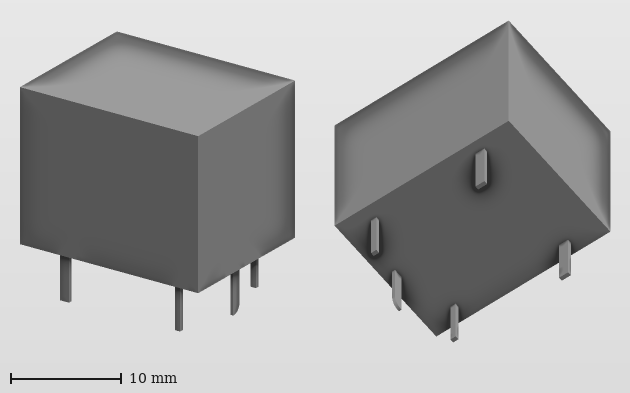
import cadquery as cq

body_length = 19.6
body_width = 15.4
total_height = 20.5
pin_length = 5.05
body_height = total_height - pin_length

wide_pin_x = -5.7
wide_pin_y = 6.33
wide_pin_width = 1.0
wide_pin_thickness = 0.4

narrow_pin_x = 6.5
narrow_pin_y = 6.0
narrow_pin_width = 0.6
narrow_pin_thickness = 0.4

blade_x = 8.5
blade_thickness = 0.3
blade_width = 1.0
blade_corner_radius = 0.9

pin_overlap = 0.2


def make_pin(x, y, size_x, size_y):
    """Rectangular pin reaching down from inside the housing."""
    return (
        cq.Workplane("XY", origin=(x, y, -pin_length))
        .rect(size_x, size_y)
        .extrude(pin_length + pin_overlap)
    )


result = cq.Workplane("XY").box(
    body_length, body_width, body_height, centered=(True, True, False)
)

for side in (-1, 1):
    wide_pin = make_pin(wide_pin_x, side * wide_pin_y, wide_pin_width, wide_pin_thickness)
    narrow_pin = make_pin(narrow_pin_x, side * narrow_pin_y, narrow_pin_width, narrow_pin_thickness)
    result = result.union(wide_pin).union(narrow_pin)

blade = make_pin(blade_x, 0, blade_thickness, blade_width)
blade = blade.faces(">Y").edges("<Z").fillet(blade_corner_radius)
result = result.union(blade)